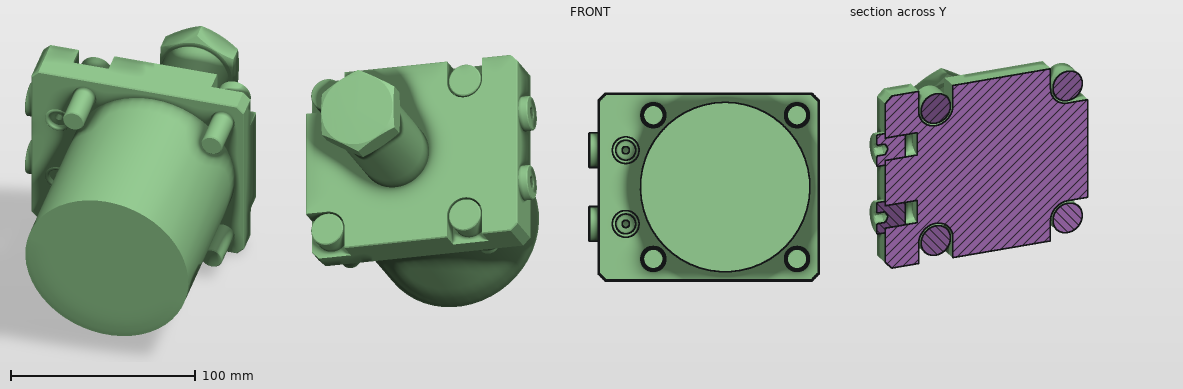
import cadquery as cq
import math


FLANGE_HALF = 51.0
FLANGE_LEFT = -69.0
FLANGE_THICKNESS = 25.0
FLANGE_CORNER_CHAMFER = 4.0
FLANGE_EDGE_CHAMFER = 0.6

CYLINDER_DIAMETER = 92.0
CYLINDER_LENGTH = 93.0
ROD_DIAMETER = 38.0
ROD_LENGTH = 59.0
ROD_CHAMFER_LENGTH = 1.5
ROD_CHAMFER_WIDTH = 0.8
NECK_DIAMETER = 35.0
NECK_LENGTH = 0.7
HEX_ACROSS_FLATS = 41.0
HEX_LENGTH = 13.8
HEX_FACE_DIAMETER = 40.2
HEX_BEVEL_ANGLE = 30.0
HEX_CROWN_HEIGHT = 0.5

BOLT_OFFSET = 39.0
BOLT_DIAMETER = 12.0
BOLT_LENGTH = 35.0
BOLT_TIP_CHAMFER = 0.6
BOLT_HEAD_DIAMETER = 18.0
BOLT_HEAD_HEIGHT = 12.0
BOLT_HEAD_CHAMFER = 0.5
BOLT_HOLE_DIAMETER = 13.5
HEAD_POCKET_WIDTH = 20.0
HEAD_POCKET_DEPTH = BOLT_HEAD_HEIGHT

PORT_OFFSET = 20.0
PORT_X = -54.0
PORT_HOLE_DIAMETER = 4.0
SEAL_RECESS_DIAMETER = 14.5
SEAL_RECESS_DEPTH = 2.6
SEAL_INNER_DIAMETER = 10.8
SEAL_STANDOUT = 0.5
SEAL_EDGE_ROUND = 0.8
PLUG_Y = 14.0
PLUG_HEAD_DIAMETER = 19.0
PLUG_HEAD_LENGTH = 5.0
PLUG_HEAD_CHAMFER = 0.5
PLUG_SHANK_DIAMETER = 13.0
PLUG_SHANK_LENGTH = 12.0
PLUG_SOCKET_ACROSS_FLATS = 6.0
PLUG_SOCKET_DEPTH = 5.0
PLUG_SOCKET_MOUTH_DIAMETER = 7.4
DRILL_TIP_ANGLE = 118.0
CROSS_BORE_OVERRUN = 4.0
CROSS_BORE_END = PORT_X + CROSS_BORE_OVERRUN

BOLT_POSITIONS = [(x, z) for x in (-BOLT_OFFSET, BOLT_OFFSET) for z in (-BOLT_OFFSET, BOLT_OFFSET)]
PORT_HEIGHTS = (-PORT_OFFSET, PORT_OFFSET)
HEX_HALF_SECTOR = math.radians(30)


def rod_along_y(diameter, y_start, length, x=0.0, z=0.0):
    return cq.Workplane(cq.Solid.makeCylinder(
        diameter / 2, length, cq.Vector(x, y_start, z), cq.Vector(0, 1, 0)))


def rod_along_x(diameter, x_start, length, y=0.0, z=0.0):
    return cq.Workplane(cq.Solid.makeCylinder(
        diameter / 2, length, cq.Vector(x_start, y, z), cq.Vector(1, 0, 0)))


def cone_along_x(start_diameter, end_diameter, x_start, length, y, z):
    return cq.Workplane(cq.Solid.makeCone(
        start_diameter / 2, end_diameter / 2, length, cq.Vector(x_start, y, z), cq.Vector(1, 0, 0)))


def box_between(x_range, y_range, z_range):
    return cq.Workplane().box(
        x_range[1] - x_range[0], y_range[1] - y_range[0], z_range[1] - z_range[0], centered=False
    ).translate((x_range[0], y_range[0], z_range[0]))


def make_flange():
    return (
        box_between((FLANGE_LEFT, FLANGE_HALF), (0, FLANGE_THICKNESS), (-FLANGE_HALF, FLANGE_HALF))
        .edges("|Y").chamfer(FLANGE_CORNER_CHAMFER)
        .faces("<Y or >Y").edges().chamfer(FLANGE_EDGE_CHAMFER)
    )


def make_hex_end(y_start):
    """Hexagonal rod end, corners up and down, bevelled at both ends and crowned at the free end."""
    corner_diameter = HEX_ACROSS_FLATS / math.cos(HEX_HALF_SECTOR)
    hexagon = (
        cq.Workplane("XZ").polygon(6, corner_diameter).extrude(-HEX_LENGTH)
        .rotate((0, 0, 0), (0, 1, 0), math.degrees(HEX_HALF_SECTOR))
    )
    bevel_width = (corner_diameter - HEX_FACE_DIAMETER) / 2
    bevel_height = bevel_width * math.tan(math.radians(HEX_BEVEL_ANGLE))
    crown_start = HEX_LENGTH - HEX_CROWN_HEIGHT
    face_radius = HEX_FACE_DIAMETER / 2
    crown_radius = (face_radius ** 2 + HEX_CROWN_HEIGHT ** 2) / (2 * HEX_CROWN_HEIGHT)
    crown_mid_radius = face_radius / 2
    crown_mid_height = HEX_LENGTH - crown_radius + math.sqrt(crown_radius ** 2 - crown_mid_radius ** 2)
    turned_blank = (
        cq.Workplane("XY")
        .lineTo(face_radius, 0)
        .lineTo(corner_diameter / 2, bevel_height)
        .lineTo(corner_diameter / 2, crown_start - bevel_height)
        .lineTo(face_radius, crown_start)
        .threePointArc((crown_mid_radius, crown_mid_height), (0, HEX_LENGTH))
        .close()
        .revolve(360, (0, 0, 0), (0, 1, 0))
    )
    return hexagon.intersect(turned_blank).translate((0, y_start, 0))


def make_head_pocket(x, z):
    """Counterbore open to the nearest horizontal edge; on the +X side also open to the right."""
    floor_y = FLANGE_THICKNESS - HEAD_POCKET_DEPTH
    half_width = HEAD_POCKET_WIDTH / 2
    depth_range = (floor_y, FLANGE_THICKNESS)
    outer_z = math.copysign(FLANGE_HALF, z)
    pocket = rod_along_y(HEAD_POCKET_WIDTH, floor_y, HEAD_POCKET_DEPTH, x, z)
    pocket = pocket.union(box_between((x - half_width, x + half_width), depth_range, sorted((z, outer_z))))
    if x > 0:
        inner_z = z - math.copysign(half_width, z)
        pocket = pocket.union(box_between((x, FLANGE_HALF), depth_range, sorted((inner_z, outer_z))))
    return pocket


def make_housing():
    neck_start = FLANGE_THICKNESS + ROD_LENGTH
    hex_start = neck_start + NECK_LENGTH
    housing = make_flange()
    housing = housing.union(rod_along_y(CYLINDER_DIAMETER, -CYLINDER_LENGTH, CYLINDER_LENGTH))
    rod = rod_along_y(ROD_DIAMETER, FLANGE_THICKNESS, ROD_LENGTH)
    rod = rod.faces(">Y").chamfer(ROD_CHAMFER_LENGTH, ROD_CHAMFER_WIDTH)
    housing = housing.union(rod)
    housing = housing.union(rod_along_y(NECK_DIAMETER, neck_start, NECK_LENGTH))
    housing = housing.union(make_hex_end(hex_start))

    for x, z in BOLT_POSITIONS:
        housing = housing.cut(rod_along_y(BOLT_HOLE_DIAMETER, 0, FLANGE_THICKNESS, x, z))
        housing = housing.cut(make_head_pocket(x, z))

    cross_bore_length = CROSS_BORE_END - FLANGE_LEFT
    for z in PORT_HEIGHTS:
        housing = housing.cut(rod_along_y(SEAL_RECESS_DIAMETER, 0, SEAL_RECESS_DEPTH, PORT_X, z))
        housing = housing.cut(rod_along_y(PORT_HOLE_DIAMETER, 0, PLUG_Y, PORT_X, z))
        housing = housing.cut(rod_along_x(PLUG_SHANK_DIAMETER, FLANGE_LEFT, cross_bore_length, PLUG_Y, z))
    return housing


def make_bolt(x, z):
    head_start = FLANGE_THICKNESS - HEAD_POCKET_DEPTH
    shank = rod_along_y(BOLT_DIAMETER, head_start - BOLT_LENGTH, BOLT_LENGTH, x, z)
    shank = shank.faces("<Y").chamfer(BOLT_TIP_CHAMFER)
    head = rod_along_y(BOLT_HEAD_DIAMETER, head_start, BOLT_HEAD_HEIGHT, x, z)
    return shank.union(head.edges("<Y or >Y").chamfer(BOLT_HEAD_CHAMFER))


def make_plug(z):
    """Screw plug with a hexagon socket that has a countersunk mouth and a conical floor."""
    head_start = FLANGE_LEFT - PLUG_HEAD_LENGTH
    socket_end = head_start + PLUG_SOCKET_DEPTH
    socket_corners = PLUG_SOCKET_ACROSS_FLATS / math.cos(HEX_HALF_SECTOR)
    tip_length = PLUG_SOCKET_ACROSS_FLATS / 2 / math.tan(math.radians(DRILL_TIP_ANGLE / 2))
    mouth_depth = (PLUG_SOCKET_MOUTH_DIAMETER - PLUG_SOCKET_ACROSS_FLATS) / 2

    head = rod_along_x(PLUG_HEAD_DIAMETER, head_start, PLUG_HEAD_LENGTH, PLUG_Y, z)
    plug = head.faces("<X").chamfer(PLUG_HEAD_CHAMFER)
    plug = plug.union(rod_along_x(PLUG_SHANK_DIAMETER, FLANGE_LEFT, PLUG_SHANK_LENGTH, PLUG_Y, z))
    socket = (
        cq.Workplane("YZ").polygon(6, socket_corners).extrude(PLUG_SOCKET_DEPTH)
        .translate((head_start, PLUG_Y, z))
    )
    plug = plug.cut(socket)
    plug = plug.cut(cone_along_x(PLUG_SOCKET_ACROSS_FLATS, 0, socket_end, tip_length, PLUG_Y, z))
    return plug.cut(cone_along_x(
        PLUG_SOCKET_MOUTH_DIAMETER, PLUG_SOCKET_ACROSS_FLATS, head_start, mouth_depth, PLUG_Y, z))


def make_seal(z):
    """Sealing ring resting on the recess floor and standing slightly proud of the flange face."""
    height = SEAL_RECESS_DEPTH + SEAL_STANDOUT
    ring = rod_along_y(SEAL_RECESS_DIAMETER, -SEAL_STANDOUT, height, PORT_X, z)
    ring = ring.cut(rod_along_y(SEAL_INNER_DIAMETER, -SEAL_STANDOUT, height, PORT_X, z))
    return ring.faces("<Y").edges().fillet(SEAL_EDGE_ROUND)


housing = make_housing()
bolts = [make_bolt(x, z) for x, z in BOLT_POSITIONS]
plugs = [make_plug(z) for z in PORT_HEIGHTS]
seals = [make_seal(z) for z in PORT_HEIGHTS]

result = cq.Compound.makeCompound([body.val() for body in (housing, *bolts, *plugs, *seals)])